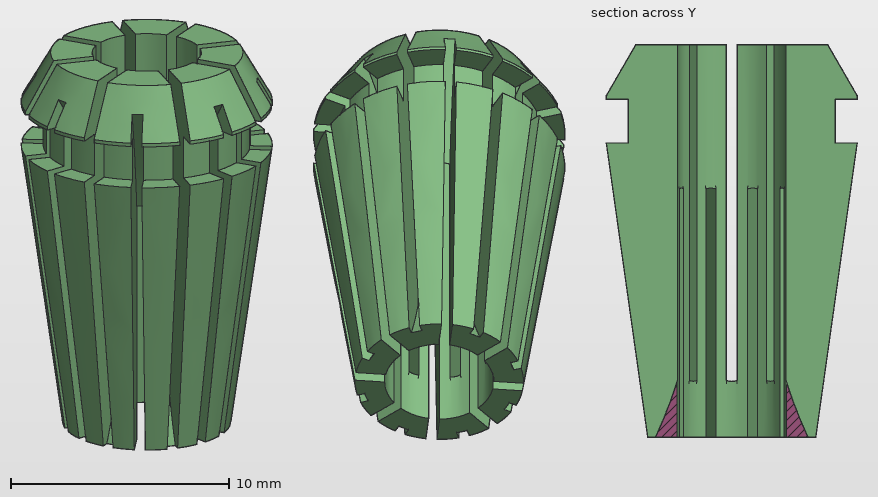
import cadquery as cq
import math


length = 18.0
max_diameter = 11.52
bore_diameter = 5.0
body_half_angle = 8.0
groove_diameter = 9.5
groove_bottom_z = 13.5
groove_top_z = 15.5
rim_height = 0.16
nose_half_angle = 30.0

slots_per_ring = 8
slot_width = 0.5
saw_radius = 21.6
slot_inner_radius = 1.5
top_slot_end_z = 2.57
bottom_slot_end_z = 16.83
clearance = 0.9

max_radius = max_diameter / 2
bore_radius = bore_diameter / 2
groove_radius = groove_diameter / 2
rim_top_z = groove_top_z + rim_height
tail_radius = max_radius - groove_bottom_z * math.tan(math.radians(body_half_angle))
nose_slope = math.tan(math.radians(nose_half_angle))
slot_pitch = 360.0 / slots_per_ring


def nose_radius(z):
    """Radius of the nose cone at height z."""
    return max_radius - (z - rim_top_z) * nose_slope


def make_blank():
    """Revolve the half section of the unslotted collet about Z."""
    half_section = [
        (bore_radius, 0),
        (tail_radius, 0),
        (max_radius, groove_bottom_z),
        (groove_radius, groove_bottom_z),
        (groove_radius, groove_top_z),
        (max_radius, groove_top_z),
        (max_radius, rim_top_z),
        (nose_radius(length), length),
        (bore_radius, length),
    ]
    return cq.Workplane("XZ").polyline(half_section).close().revolve(360, (0, 0), (0, 1))


def saw_point(radius):
    """Distance along Z from the saw centre to its rim at the given radius from the collet axis."""
    offset = slot_inner_radius + saw_radius - radius
    return math.sqrt(saw_radius**2 - offset**2)


def slot_cutter(end_radius, end_z, open_z):
    """Slot along +X, open at open_z, whose curved end passes through (end_radius, end_z)."""
    direction = 1 if end_z > open_z else -1
    saw_centre_z = end_z - direction * saw_point(end_radius)
    outer_radius = max_radius + clearance
    middle_radius = (slot_inner_radius + outer_radius) / 2
    start_z = open_z - direction * clearance
    return (
        cq.Workplane("XZ")
        .moveTo(slot_inner_radius, start_z)
        .lineTo(slot_inner_radius, saw_centre_z)
        .threePointArc(
            (middle_radius, saw_centre_z + direction * saw_point(middle_radius)),
            (outer_radius, saw_centre_z + direction * saw_point(outer_radius)),
        )
        .lineTo(outer_radius, start_z)
        .close()
        .extrude(slot_width / 2, both=True)
    )


def cut_slot_ring(part, cutter, first_angle):
    """Cut evenly spaced copies of the cutter around Z."""
    for index in range(slots_per_ring):
        angle = first_angle + index * slot_pitch
        part = part.cut(cutter.rotate((0, 0, 0), (0, 0, 1), angle))
    return part


top_slot = slot_cutter(bore_radius, top_slot_end_z, length)
bottom_slot = slot_cutter(nose_radius(bottom_slot_end_z), bottom_slot_end_z, 0)

result = make_blank()
result = cut_slot_ring(result, top_slot, 0)
result = cut_slot_ring(result, bottom_slot, slot_pitch / 2)